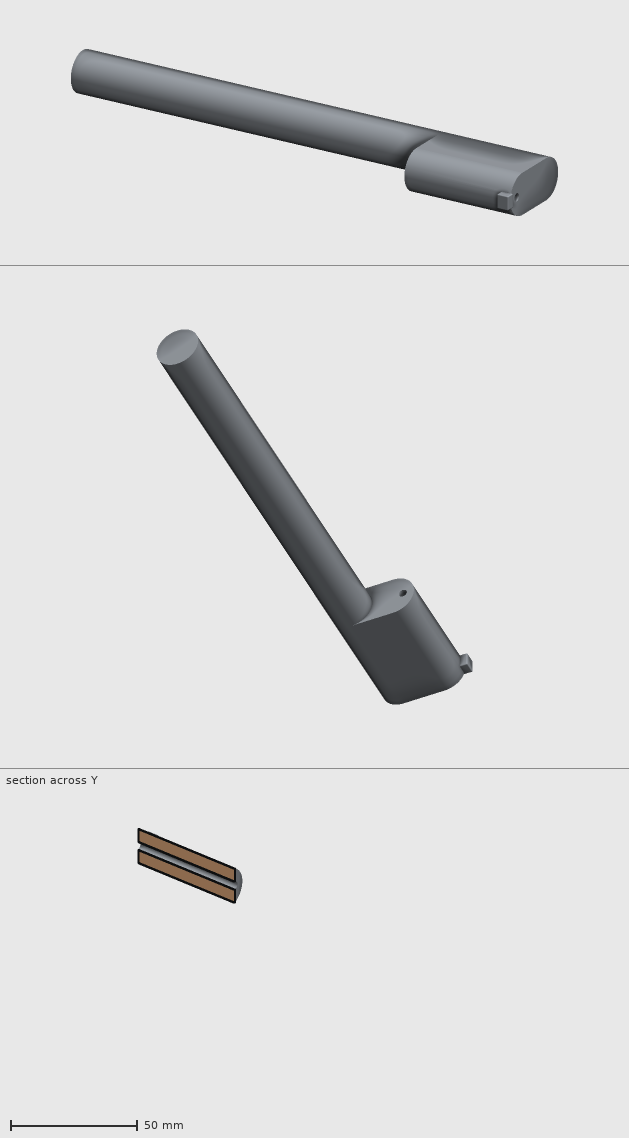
import cadquery as cq

overall_length = 216
overall_width = 38.9
combined_width = 36.0
barrel_diameter = combined_width / 2
lug_length = 49.2
lug_offset = barrel_diameter

hole_diameter = 3.5
hole_offset = 22.2

tab_length = 5.2
tab_height = 6.0
tab_depth = 3.9
tab_overhang = 0.6
tab_rounding = 0.5

barrel_length = overall_length - tab_overhang
lug_start = barrel_length - lug_length
tab_outer_offset = overall_width - barrel_diameter / 2


def rod_along_x(diameter, start, length, offset):
    """A rod parallel to X, offset from the barrel axis toward -Y."""
    return cq.Workplane("YZ", origin=(start, -offset, 0)).circle(diameter / 2).extrude(length)


def make_tab():
    block = cq.Workplane("XY").box(tab_length, tab_depth, tab_height).edges().fillet(tab_rounding)
    return block.translate((overall_length - tab_length / 2, tab_depth / 2 - tab_outer_offset, 0))


def make_barrel(tab):
    barrel = rod_along_x(barrel_diameter, 0, barrel_length, 0)
    lug_web = cq.Workplane("XY").box(lug_length, lug_offset, barrel_diameter).translate(
        (lug_start + lug_length / 2, -lug_offset / 2, 0)
    )
    lug_round = rod_along_x(barrel_diameter, lug_start, lug_length, lug_offset)
    hole = rod_along_x(hole_diameter, lug_start, lug_length, hole_offset)
    return barrel.union(lug_web).union(lug_round).cut(hole).cut(tab)


tab = make_tab()
barrel = make_barrel(tab)

result = cq.Compound.makeCompound([barrel.val(), tab.val()])